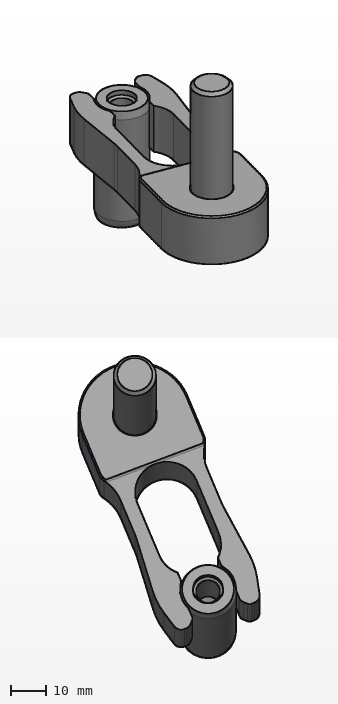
import cadquery as cq
import math

head_width = 32.0
head_radius = head_width / 2
head_top = 15.7
head_edge_chamfer = 0.5
fork_top = head_top - head_edge_chamfer
step_x = -15.5

overall_length = 80.6
fork_end_x = head_radius - overall_length
waist_half_width = 13.1
mouth_half_width = 7.25
link_half_width = 6.1
head_side_end_x = -13.0
head_corner_radius = 3.4
neck_radius = 13.05
touching_distance = 0.001

window_radius = 9.0
window_head_x = -24.7
window_fork_x = -41.6

stud_radius = 12.0 / 2
stud_top = 50.45
stud_chamfer = 1.05
stud_hole_chamfer = 0.25

overall_height = 75.6
pin_x = -56.0
pin_radius = 15.9 / 2
pin_tip = stud_top - overall_height
pin_taper_height = 2.3
pin_taper_angle = 15
pin_edge_height = 2.6
pin_edge_inset = 0.65
pin_point_angle = 15

recess_radius = 4.3
recess_depth = 1.5
bore_radius = 3.4
bore_depth = 16.1
bore_cone_angle = 120


def rounded_outline(corners):
    """Closed wire through (x, y, radius) corners, each rounded by a tangent arc."""
    outline = None
    count = len(corners)
    for i, (x, y, radius) in enumerate(corners):
        here = cq.Vector(x, y)
        before = (cq.Vector(*corners[i - 1][:2]) - here).normalized()
        after = (cq.Vector(*corners[(i + 1) % count][:2]) - here).normalized()
        half_angle = before.getAngle(after) / 2
        setback = radius / math.tan(half_angle)
        start = here + before * setback
        end = here + after * setback
        bisector = (before + after).normalized()
        middle = here + bisector * (radius / math.sin(half_angle) - radius)
        if outline is None:
            outline = cq.Workplane("XY").moveTo(start.x, start.y)
        elif (start - last_end).Length > touching_distance:
            outline = outline.lineTo(start.x, start.y)
        if radius > 0:
            outline = outline.threePointArc((middle.x, middle.y), (end.x, end.y))
        last_end = end
    return outline.close()


def arm_outline():
    """Outline of the lever, with the open mouth of the fork at its -X end."""
    arcs_sum = head_corner_radius + neck_radius
    neck_angle = math.acos(1 - (head_radius - waist_half_width) / arcs_sum)
    neck_end_x = head_side_end_x - arcs_sum * math.sin(neck_angle)
    head_corner_x = head_side_end_x - head_corner_radius * math.tan(neck_angle / 2)
    neck_x = neck_end_x + neck_radius * math.tan(neck_angle / 2)
    upper_half = [
        (head_radius, head_radius, head_radius),
        (head_corner_x, head_radius, head_corner_radius),
        (neck_x, waist_half_width, neck_radius),
        (-34.0, waist_half_width, 20.15),
        (-54.4, 15.1, 21.8),
        (fork_end_x, 12.6, 2.4),
        (fork_end_x, 9.2, 1.6),
        (-62.6, mouth_half_width, 2.0),
        (pin_x, mouth_half_width, 0),
    ]
    lower_half = [(x, -y, radius) for x, y, radius in reversed(upper_half)]
    return rounded_outline(upper_half + lower_half)


def make_arm():
    body = arm_outline().extrude(head_top)
    body = body.faces(">Z").edges().chamfer(head_edge_chamfer)

    step_middle = (
        step_x + head_edge_chamfer * math.sin(math.radians(45)),
        head_top - head_edge_chamfer * math.cos(math.radians(45)),
    )
    drop = (
        cq.Workplane("XZ")
        .moveTo(fork_end_x, fork_top)
        .lineTo(step_x, fork_top)
        .threePointArc(step_middle, (step_x + head_edge_chamfer, head_top))
        .lineTo(fork_end_x, head_top)
        .close()
        .extrude(head_radius, both=True)
    )
    body = body.cut(drop)

    window_length = window_head_x - window_fork_x + 2 * window_radius
    window = (
        cq.Workplane("XY")
        .center((window_head_x + window_fork_x) / 2, 0)
        .slot2D(window_length, 2 * window_radius)
        .extrude(fork_top)
    )
    gap_length = window_fork_x - pin_x
    gap = (
        cq.Workplane("XY")
        .center(pin_x + gap_length / 2, 0)
        .rect(gap_length, 2 * link_half_width)
        .extrude(fork_top)
    )
    pin_seat = cq.Workplane("XY").center(pin_x, 0).circle(pin_radius).extrude(fork_top)
    body = body.cut(window).cut(gap).cut(pin_seat)

    stud_hole = cq.Workplane("XY").circle(stud_radius).extrude(head_top)
    mouth = (
        cq.Workplane("XY", origin=(0, 0, head_top))
        .circle(stud_radius + stud_hole_chamfer)
        .extrude(-stud_radius - stud_hole_chamfer, taper=45)
    )
    return body.cut(stud_hole).cut(mouth)


def make_stud():
    return cq.Workplane("XY").circle(stud_radius).extrude(stud_top).faces(">Z").chamfer(stud_chamfer)


def make_pin():
    """Solid of revolution about the pin axis, drawn as a half section in (radius, z)."""
    pin_top = fork_top
    taper_inset = pin_taper_height * math.tan(math.radians(pin_taper_angle))
    rim_radius = pin_radius - pin_edge_inset
    rim_z = pin_tip + rim_radius * math.tan(math.radians(pin_point_angle))
    shaft_bottom = rim_z + pin_edge_height

    edge_arc_radius = (pin_edge_height**2 + pin_edge_inset**2) / (2 * pin_edge_inset)
    edge_arc_angle = math.asin(pin_edge_height / edge_arc_radius) / 2
    edge_middle = (
        pin_radius - edge_arc_radius * (1 - math.cos(edge_arc_angle)),
        shaft_bottom - edge_arc_radius * math.sin(edge_arc_angle),
    )

    cone_slope = 1 / math.tan(math.radians(bore_cone_angle / 2))
    recess_z = pin_top - recess_depth
    bore_top = recess_z - (recess_radius - bore_radius) * cone_slope
    bore_bottom = pin_top - bore_depth

    section = (
        cq.Workplane("XZ", origin=(pin_x, 0, 0))
        .moveTo(0, pin_tip)
        .lineTo(rim_radius, rim_z)
        .threePointArc(edge_middle, (pin_radius, shaft_bottom))
        .lineTo(pin_radius, pin_top - pin_taper_height)
        .lineTo(pin_radius - taper_inset, pin_top)
        .lineTo(recess_radius, pin_top)
        .lineTo(recess_radius, recess_z)
        .lineTo(bore_radius, bore_top)
        .lineTo(bore_radius, bore_bottom)
        .lineTo(0, bore_bottom - bore_radius * cone_slope)
        .close()
    )
    return section.revolve(360, (0, 0, 0), (0, 1, 0))


arm = make_arm()
stud = make_stud()
pin = make_pin()

result = cq.Compound.makeCompound([arm.val(), stud.val(), pin.val()])